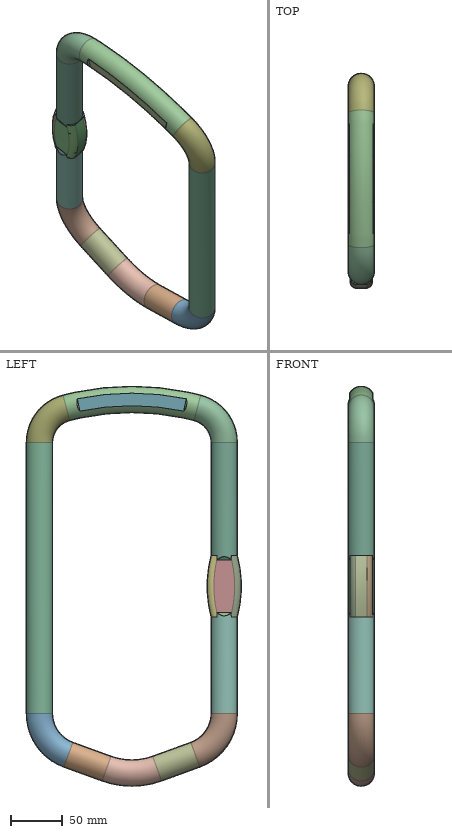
import cadquery as cq
import math

height = 391.5
tube_radius = 13.0
side_y = 90.5
top_bow_radius = 254.5
top_bend_radius = 35.2
bottom_bend_radius = 43.0
bottom_bow_radius = 72.5
bottom_slope = math.radians(20)

cutter_depth = 4.0

label_x = 11.5
label_half_angle = math.radians(11.8)
label_end_slope = 45

sleeve_x = 11.0
sleeve_length = 60.0
sleeve_half_width = 17.0
sleeve_bow_radius = 117.5
sleeve_corner_y = 6.5
sleeve_corner_bulge = 1.5
sleeve_edge_half_x = 5.5
sleeve_z = height / 2
sleeve_flat_length = 51.3
sleeve_flat_run = 1.7

top_bow_z = height - tube_radius - top_bow_radius
top_bend_y = side_y - top_bend_radius
top_bend_angle = math.asin(top_bend_y / (top_bow_radius - top_bend_radius))
top_bend_z = top_bow_z + (top_bow_radius - top_bend_radius) * math.cos(top_bend_angle)

bottom_bow_z = tube_radius + bottom_bow_radius
bottom_bend_y = side_y - bottom_bend_radius
bow_end_y = bottom_bow_radius * math.sin(bottom_slope)
bow_end_z = bottom_bow_z - bottom_bow_radius * math.cos(bottom_slope)
bend_end_y = bottom_bend_y + bottom_bend_radius * math.sin(bottom_slope)
bend_end_z = bow_end_z + (bend_end_y - bow_end_y) * math.tan(bottom_slope)
bottom_bend_z = bend_end_z + bottom_bend_radius * math.cos(bottom_slope)


def on_arc(center, radius, angle):
    """Point on an arc; the angle is measured from +Z towards +Y."""
    y, z = center
    return (y + radius * math.sin(angle), z + radius * math.cos(angle))


def mirrored(point):
    return (-point[0], point[1])


def make_loop():
    top_bend = (top_bend_y, top_bend_z)
    bottom_bend = (bottom_bend_y, bottom_bend_z)
    bow_start = on_arc(top_bend, top_bend_radius, top_bend_angle)
    top_bend_mid = on_arc(top_bend, top_bend_radius, (top_bend_angle + math.pi / 2) / 2)
    bottom_bend_mid = on_arc(bottom_bend, bottom_bend_radius, (1.5 * math.pi - bottom_slope) / 2)
    path = (
        cq.Workplane("YZ")
        .moveTo(side_y, sleeve_z)
        .lineTo(side_y, top_bend_z)
        .threePointArc(top_bend_mid, bow_start)
        .threePointArc((0, height - tube_radius), mirrored(bow_start))
        .threePointArc(mirrored(top_bend_mid), (-side_y, top_bend_z))
        .lineTo(-side_y, bottom_bend_z)
        .threePointArc(mirrored(bottom_bend_mid), (-bend_end_y, bend_end_z))
        .lineTo(-bow_end_y, bow_end_z)
        .threePointArc((0, tube_radius), (bow_end_y, bow_end_z))
        .lineTo(bend_end_y, bend_end_z)
        .threePointArc(bottom_bend_mid, (side_y, bottom_bend_z))
        .close()
    )
    section = cq.Workplane("XY", origin=(0, side_y, sleeve_z)).circle(tube_radius)
    return section.sweep(path)


def make_label_cutter():
    """Wedge with radial, sloping ends that flattens the +X face of the top bow."""
    center = (0, top_bow_z)
    outer = (top_bow_radius + 2 * tube_radius) / math.cos(label_half_angle)
    inner = top_bow_radius - 2 * tube_radius
    outer_corner = on_arc(center, outer, label_half_angle)
    inner_corner = on_arc(center, inner, label_half_angle)
    return (
        cq.Workplane("YZ", origin=(label_x, 0, 0))
        .polyline([outer_corner, inner_corner, mirrored(inner_corner), mirrored(outer_corner)])
        .close()
        .extrude(cutter_depth, taper=-label_end_slope)
    )


def make_sleeve_cutter():
    """Block with sloping ends that flattens the +X face of the tube at the sleeve."""
    half_floor = sleeve_flat_length / 2
    half_mouth = half_floor + sleeve_flat_run * cutter_depth
    outer_x = sleeve_x + cutter_depth
    return (
        cq.Workplane("XZ", origin=(0, -side_y, sleeve_z))
        .moveTo(sleeve_x, -half_floor)
        .lineTo(outer_x, -half_mouth)
        .lineTo(outer_x, half_mouth)
        .lineTo(sleeve_x, half_floor)
        .close()
        .extrude(tube_radius, both=True)
    )


def make_sleeve():
    """Overlap of two large discs with rounded rims, trimmed to the sleeve length."""
    rim = sleeve_bow_radius
    shoulder = rim - sleeve_corner_y
    disc = (
        cq.Workplane("XY")
        .moveTo(-sleeve_x, 0)
        .lineTo(sleeve_x, 0)
        .lineTo(sleeve_x, shoulder)
        .sagittaArc((sleeve_edge_half_x, rim), -sleeve_corner_bulge)
        .lineTo(-sleeve_edge_half_x, rim)
        .sagittaArc((-sleeve_x, shoulder), -sleeve_corner_bulge)
        .close()
        .revolve(360, (0, 0, 0), (1, 0, 0))
    )
    disc_offset = sleeve_bow_radius - sleeve_half_width
    barrel = cq.Workplane("XY").box(2 * sleeve_x, 2 * sleeve_half_width, sleeve_length)
    for offset in (disc_offset, -disc_offset):
        barrel = barrel.intersect(disc.translate((0, offset, 0)))
    return barrel.translate((0, -side_y, sleeve_z))


result = make_loop()
for cutter in (make_label_cutter(), make_sleeve_cutter()):
    result = result.cut(cutter).cut(cutter.mirror("YZ"))
result = result.union(make_sleeve())